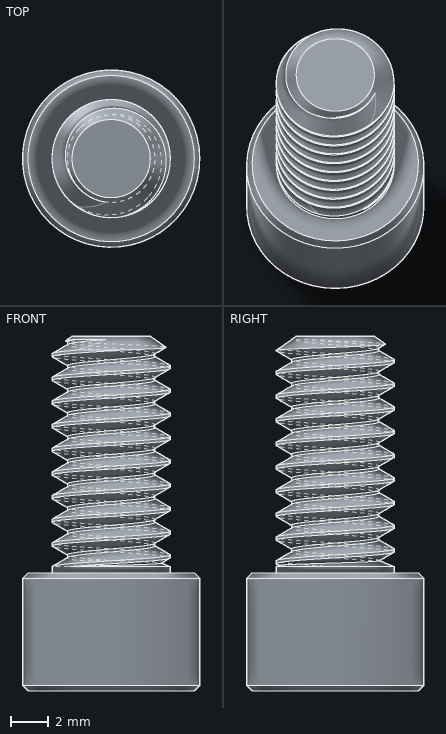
import math

import cadquery as cq

INCH = 25.4
major_diameter = INCH / 4
major_radius = major_diameter / 2
pitch = INCH / 20
shank_length = INCH / 2
head_diameter = 1.5 * major_diameter
head_height = major_diameter
head_chamfer = 0.3

flank_slope = math.tan(math.radians(30))
sharp_height = pitch / (2 * flank_slope)
thread_depth = 0.75 * sharp_height
minor_radius = major_radius - thread_depth
root_flat = pitch / 8
groove_phase = 0.195 * pitch

tip_radius = 2.1
tip_slope = math.tan(math.radians(35))
collar_height = 0.33
runout_slope = math.tan(math.radians(22.5))

overlap = 0.05


def make_head():
    head = cq.Workplane("XY").circle(head_diameter / 2).extrude(-head_height)
    return head.faces("<Z or >Z").edges().chamfer(head_chamfer)


def make_coned_rod(bottom_z, shoulder_z, top_radius, top_z):
    """Rod of the major diameter that narrows to top_radius between shoulder_z and top_z."""
    outline = [
        (0, bottom_z),
        (major_radius, bottom_z),
        (major_radius, shoulder_z),
        (top_radius, top_z),
        (0, top_z),
    ]
    return cq.Workplane("XZ").polyline(outline).close().revolve(360, (0, 0), (0, 1))


def make_helix_edge(radius, start_z, height):
    return cq.Wire.makeHelix(pitch, height, radius, cq.Vector(0, 0, start_z)).Edges()[0]


def make_end_face(corners, lift):
    """Flat face across the groove profile, raised by lift."""
    raised = [(radius, z + lift) for radius, z in corners]
    outline = cq.Workplane("XZ").polyline(raised).close().wires().val()
    return cq.Face.makeFromWires(outline)


def make_groove():
    """Right-handed helical groove that runs past both ends of the shank."""
    start_z = groove_phase - pitch
    groove_height = shank_length + 2 * pitch
    mouth_radius = major_radius + overlap
    root_half = root_flat / 2
    mouth_half = root_half + (mouth_radius - minor_radius) * flank_slope
    corners = [
        (minor_radius, start_z - root_half),
        (mouth_radius, start_z - mouth_half),
        (mouth_radius, start_z + mouth_half),
        (minor_radius, start_z + root_half),
    ]

    helices = [make_helix_edge(radius, z, groove_height) for radius, z in corners]
    walls = [
        cq.Face.makeRuledSurface(helices[i - 1], helices[i])
        for i in range(len(helices))
    ]
    ends = [make_end_face(corners, lift) for lift in (0, groove_height)]
    shell = cq.Shell.makeShell(walls + ends)
    return cq.Workplane(cq.Solid.makeSolid(shell))


def make_shank():
    """Threaded shank with a conical tip and a plain collar next to the head."""
    tip_shoulder_z = shank_length - (major_radius - tip_radius) * tip_slope
    blank = make_coned_rod(0, tip_shoulder_z, tip_radius, shank_length)

    runout_top_z = collar_height + thread_depth * runout_slope
    runout = make_coned_rod(-overlap, collar_height, minor_radius, runout_top_z)
    return blank.cut(make_groove().cut(runout))


result = make_head().union(make_shank())